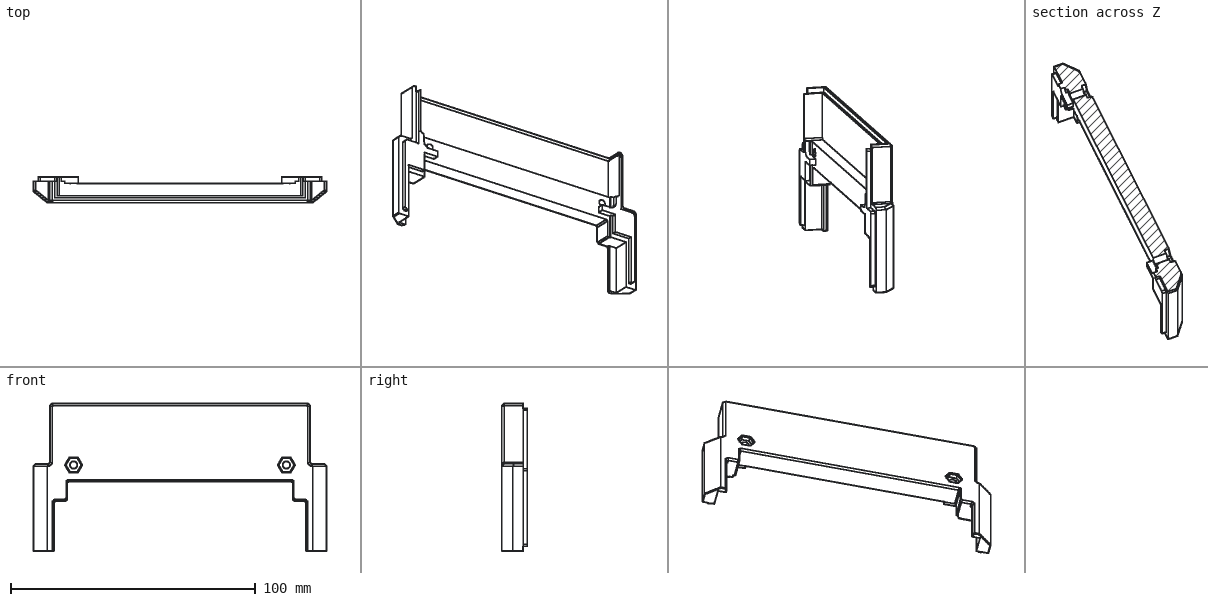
import cadquery as cq
import math

WIDTH = 120.0
HEIGHT = 60.5
DEPTH = 10.55

PANEL_HALF_WIDTH = 53.2
SHOULDER_Z = 35.8
PANEL_BOTTOM_Z = 28.5
STEP_HALF_GAP = 46.2
STEP_BOTTOM_Z = 20.5
LEG_HALF_GAP = 51.5
OUTER_EDGE_CHAMFER = 1.0
LOWER_EDGE_CHAMFER = 0.8
STEP_EDGE_CHAMFER = 0.4
FOOT_CHAMFER = 0.3
CORNER_CHAMFER = 0.6
TOP_CORNER_CHAMFER = 0.9

SHELL_DEPTH = 8.8
SLANT_START_X = 54.2
SLANT_DEPTH = 4.65

SKIN = 2.0
PANEL_THICKNESS = 2.9
CAVITY_HALF_WIDTH = 50.1
CAVITY_CORNER_CHAMFER = 0.8
FLOOR_Z = 39.0
FLOOR_DEPTH = 7.9
FLOOR_RECESS_HALF_WIDTH = 47.2
LEG_WALL_INNER_X = 54.9

LIP_LEG_INNER_X = 56.2
LIP_TAB_END_X = 41.6
LIP_TAB_TOP_Z = 33.0
LIP_TAB_WALL_X = 48.6
LIP_TAB_FILLET = 3.0
LIP_CORNER_CHAMFER = 0.8

HOLE_X = 43.5
HOLE_Z = 35.3
HOLE_DIAMETER = 2.9
HEX_SIDES = 6
NUT_ACROSS_FLATS = 5.4
NUT_MOUTH_CHAMFER = 0.4
NUT_POCKET_DEPTH = 2.0

HALF_WIDTH = WIDTH / 2
SIDES = (-1, 1)
TOLERANCE = 1e-4


def box(x_range, y_range, z_range):
    """Axis-aligned box between the given limits."""
    (x0, x1), (y0, y1), (z0, z1) = x_range, y_range, z_range
    return cq.Workplane("XY").box(x1 - x0, y1 - y0, z1 - z0, centered=False).translate((x0, y0, z0))


def extrude_xz(points, y_start, y_end):
    """Prism of an XZ outline between two Y levels."""
    plane = cq.Workplane("XZ", origin=(0, y_start, 0))
    return plane.polyline(points).close().extrude(-(y_end - y_start))


def mirrored(half_points):
    """Close a right-hand half outline with its mirror image."""
    return half_points + [(-x, z) for x, z in reversed(half_points)]


def on_front_face(edge):
    """True for edges lying in the front plane."""
    return edge.BoundingBox().ymax < TOLERANCE


def is_outer_edge(edge):
    """Front edges of the panel top and sides, and the rim of each shoulder."""
    middle = edge.Center()
    bounds = edge.BoundingBox()
    above_shoulder = bounds.zmin > SHOULDER_Z - TOLERANCE
    level = bounds.zmax - bounds.zmin < TOLERANCE
    on_rim = level and abs(middle.x) > SLANT_START_X and bounds.ymin < SHELL_DEPTH - TOLERANCE
    on_rim = on_rim and middle.z < SHOULDER_Z + TOLERANCE
    return above_shoulder and (on_front_face(edge) or on_rim)


def is_step_edge(edge):
    """Front edges of the vertical step walls."""
    return on_front_face(edge) and abs(abs(edge.Center().x) - STEP_HALF_GAP) < TOLERANCE


def is_lower_edge(edge):
    """Front edges along the panel bottom, the step undersides and the leg insides."""
    middle = edge.Center()
    below_panel = TOLERANCE < middle.z < PANEL_BOTTOM_Z + TOLERANCE
    inside_legs = abs(middle.x) < LEG_HALF_GAP + TOLERANCE
    return on_front_face(edge) and below_panel and inside_legs and not is_step_edge(edge)


def is_foot_edge(edge):
    """Front, slanted and outer edges of the leg ends."""
    bounds = edge.BoundingBox()
    return bounds.zmax < TOLERANCE and bounds.ymin < SLANT_DEPTH + TOLERANCE


def chamfer_edges(body, selected, size):
    """Chamfer every edge for which the test holds."""
    edges = [edge for edge in body.edges().vals() if selected(edge)]
    return body.newObject(edges).chamfer(size)


def make_shell():
    """Solid outer form: panel, shoulders, steps and legs with chamfered front edges."""
    c = CORNER_CHAMFER
    half = [
        (PANEL_HALF_WIDTH - TOP_CORNER_CHAMFER, HEIGHT),
        (PANEL_HALF_WIDTH, HEIGHT - TOP_CORNER_CHAMFER),
        (PANEL_HALF_WIDTH, SHOULDER_Z + c),
        (PANEL_HALF_WIDTH + c, SHOULDER_Z),
        (HALF_WIDTH, SHOULDER_Z),
        (HALF_WIDTH, 0),
        (LEG_HALF_GAP, 0),
        (LEG_HALF_GAP, STEP_BOTTOM_Z - c),
        (LEG_HALF_GAP - c, STEP_BOTTOM_Z),
        (STEP_HALF_GAP + c, STEP_BOTTOM_Z),
        (STEP_HALF_GAP, STEP_BOTTOM_Z + c),
        (STEP_HALF_GAP, PANEL_BOTTOM_Z - c),
        (STEP_HALF_GAP - c, PANEL_BOTTOM_Z),
    ]
    shell = extrude_xz(mirrored(half), 0, SHELL_DEPTH)
    plan = [
        (-HALF_WIDTH, SHELL_DEPTH),
        (-HALF_WIDTH, SLANT_DEPTH),
        (-SLANT_START_X, 0),
        (SLANT_START_X, 0),
        (HALF_WIDTH, SLANT_DEPTH),
        (HALF_WIDTH, SHELL_DEPTH),
    ]
    shell = shell.intersect(cq.Workplane("XY").polyline(plan).close().extrude(HEIGHT))

    shell = chamfer_edges(shell, is_outer_edge, OUTER_EDGE_CHAMFER)
    shell = chamfer_edges(shell, is_lower_edge, LOWER_EDGE_CHAMFER)
    shell = chamfer_edges(shell, is_step_edge, STEP_EDGE_CHAMFER)
    return chamfer_edges(shell, is_foot_edge, FOOT_CHAMFER)


def make_cavity():
    """Open-topped space behind the panel, with a ledge below the top rim."""
    c = CAVITY_CORNER_CHAMFER
    half = [
        (CAVITY_HALF_WIDTH, HEIGHT),
        (CAVITY_HALF_WIDTH, FLOOR_Z + c),
        (CAVITY_HALF_WIDTH - c, FLOOR_Z),
    ]
    cavity = extrude_xz(mirrored(half), PANEL_THICKNESS, DEPTH)
    ledge_x = PANEL_HALF_WIDTH - SKIN
    ledge = box((-ledge_x, ledge_x), (SKIN, DEPTH), (HEIGHT - SKIN, HEIGHT))
    r = FLOOR_RECESS_HALF_WIDTH
    recess = box((-r, r), (FLOOR_DEPTH, SHELL_DEPTH), (0, HEIGHT))
    return cavity.union(ledge).union(recess)


def make_leg_slot(side):
    """Space behind the front plate of a leg, open towards the middle."""
    slot = box((STEP_HALF_GAP, LEG_WALL_INNER_X), (SKIN, SHELL_DEPTH), (0, STEP_BOTTOM_Z))
    return slot if side > 0 else slot.mirror("YZ")


def make_lip(side):
    """Raised lip on the back, set in from the shell outline by the skin thickness."""
    c = LIP_CORNER_CHAMFER
    leg_x = HALF_WIDTH - SKIN
    top_x = PANEL_HALF_WIDTH - SKIN
    top_z = HEIGHT - SKIN
    shoulder_z = SHOULDER_Z - SKIN
    step_x = STEP_HALF_GAP + SKIN
    step_z = STEP_BOTTOM_Z + SKIN
    points = [
        (leg_x - c, SKIN),
        (leg_x, SKIN + c),
        (leg_x, shoulder_z - c),
        (leg_x - c, shoulder_z),
        (top_x, shoulder_z),
        (top_x, top_z - c),
        (top_x - c, top_z),
        (CAVITY_HALF_WIDTH, top_z),
        (CAVITY_HALF_WIDTH, FLOOR_Z + CAVITY_CORNER_CHAMFER),
        (CAVITY_HALF_WIDTH - CAVITY_CORNER_CHAMFER, FLOOR_Z),
        (LIP_TAB_WALL_X, FLOOR_Z),
        (LIP_TAB_WALL_X, LIP_TAB_TOP_Z),
        (LIP_TAB_END_X, LIP_TAB_TOP_Z),
        (LIP_TAB_END_X, PANEL_BOTTOM_Z + SKIN),
        (step_x, PANEL_BOTTOM_Z + SKIN),
        (step_x, step_z),
        (LIP_LEG_INNER_X, step_z),
        (LIP_LEG_INNER_X, SKIN),
    ]
    lip = extrude_xz([(side * x, z) for x, z in points], FLOOR_DEPTH, DEPTH)
    tab_corner = (side * LIP_TAB_WALL_X, (FLOOR_DEPTH + DEPTH) / 2, LIP_TAB_TOP_Z)
    return lip.edges(cq.NearestToPointSelector(tab_corner)).fillet(LIP_TAB_FILLET)


def make_screw_hole(side):
    """Through hole with a hexagonal nut pocket in the front face."""
    plane = cq.Workplane("XZ", origin=(side * HOLE_X, 0, HOLE_Z))
    hole = plane.circle(HOLE_DIAMETER / 2).extrude(-DEPTH)
    corners_per_flats = 1 / math.cos(math.pi / HEX_SIDES)
    pocket = plane.polygon(HEX_SIDES, NUT_ACROSS_FLATS * corners_per_flats).extrude(-NUT_POCKET_DEPTH)
    mouth_flats = NUT_ACROSS_FLATS + 2 * NUT_MOUTH_CHAMFER
    mouth = (
        plane.polygon(HEX_SIDES, mouth_flats * corners_per_flats)
        .workplane(offset=-NUT_MOUTH_CHAMFER)
        .polygon(HEX_SIDES, NUT_ACROSS_FLATS * corners_per_flats)
        .loft(ruled=True)
    )
    return hole.union(pocket).union(mouth)


result = make_shell().cut(make_cavity())
for side in SIDES:
    result = result.cut(make_leg_slot(side)).union(make_lip(side)).cut(make_screw_hole(side))